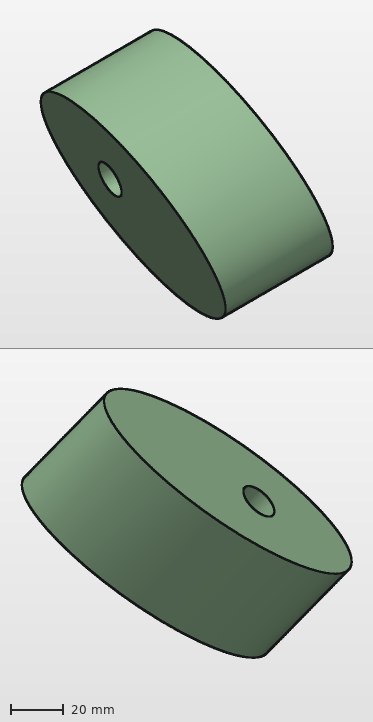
import cadquery as cq

length = 120.0
height = length / 2
depth = 50.0

hole_diameter = length / 8
hole_offset = -length / 8

block = cq.Workplane("XZ").ellipse(length / 2, height / 2).extrude(depth)

hole = (
    cq.Workplane("XZ")
    .center(hole_offset, 0)
    .circle(hole_diameter / 2)
    .extrude(depth)
)

result = block.cut(hole)